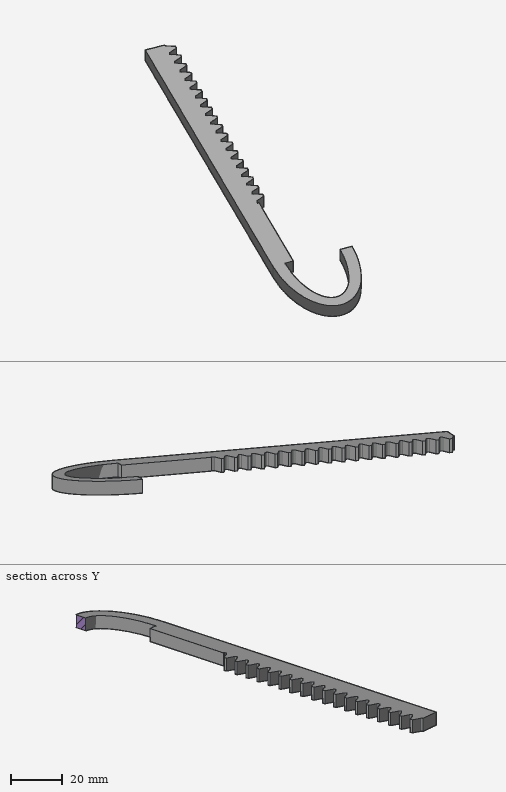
import cadquery as cq
import math

length = 167.2
width = 32.8
thickness = 5.5

bar_length = 136.6
bar_height = 8.5

hook_band = 5.0
hook_outer_x = length - bar_length
hook_outer_y = width / 2
hook_inner_x = hook_outer_x - hook_band
hook_inner_y = hook_outer_y - hook_band

tooth_count = 18
rack_length = 99.0
tooth_pitch = rack_length / tooth_count
pressure_angle = math.radians(25)
tip_height = 11.7
module = tooth_pitch / math.pi
pitch_line = tip_height - module
root_height = 8.0
root_fillet = 0.7
end_relief = 0.7
relief_end = rack_length + end_relief


def tooth_half_width(height):
    """Half the width of a straight-sided tooth at a height above the bar's lower edge."""
    return tooth_pitch / 4 - (height - pitch_line) * math.tan(pressure_angle)


def tooth_points(center_x):
    """Corners of one tooth, listed from right to left."""
    root = tooth_half_width(root_height)
    tip = tooth_half_width(tip_height)
    return [
        (center_x + root, root_height),
        (center_x + tip, tip_height),
        (center_x - tip, tip_height),
        (center_x - root, root_height),
    ]


def tooth_root_selector():
    """Selector for the upright edges where tooth flanks meet the root, away from the rack ends."""
    margin = 0.2
    return cq.selectors.BoxSelector(
        (margin, root_height - margin, 0),
        (relief_end - margin, root_height + margin, thickness),
    ) & cq.selectors.ParallelDirSelector(cq.Vector(0, 0, 1))


def make_rack_bar():
    """Bar with a row of teeth along its upper edge, starting at the left end."""
    points = [
        (0, 0),
        (bar_length, 0),
        (bar_length, bar_height),
        (relief_end, bar_height),
        (relief_end, root_height),
    ]
    for index in reversed(range(tooth_count)):
        points += tooth_points((index + 0.5) * tooth_pitch)
    points.append((0, root_height))
    bar = cq.Workplane("XY").polyline(points).close().extrude(thickness)
    return bar.edges(tooth_root_selector()).fillet(root_fillet)


def make_half_ellipse(radius_x, radius_y):
    """Solid right half of an ellipse centered on the hook."""
    return (
        cq.Workplane("XY", origin=(bar_length, hook_outer_y, 0))
        .moveTo(0, -radius_y)
        .ellipseArc(radius_x, radius_y, -90, 90, startAtCurrent=True)
        .close()
        .extrude(thickness)
    )


hook = make_half_ellipse(hook_outer_x, hook_outer_y).cut(make_half_ellipse(hook_inner_x, hook_inner_y))
result = make_rack_bar().union(hook)